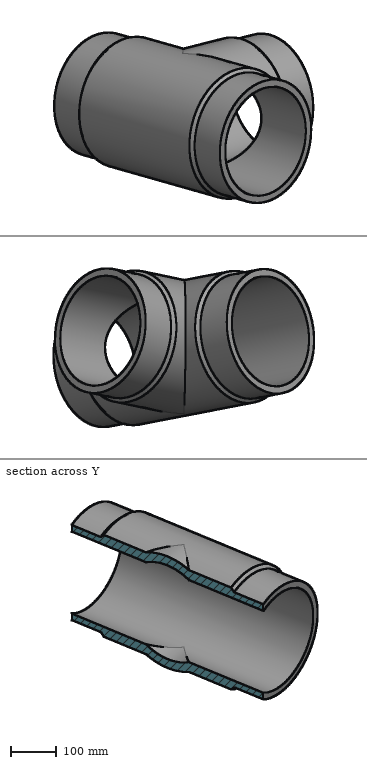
import cadquery as cq

run_length = 534.0
body_diameter = 296.5
spigot_diameter = 280.0
bore_diameter = 246.5
spigot_length = 81.0

arm_length = run_length / 2
collar_end = arm_length - spigot_length
body_radius = body_diameter / 2
spigot_radius = spigot_diameter / 2
bore_radius = bore_diameter / 2
chamfer = body_radius - spigot_radius

run_plane = cq.Plane(origin=(0, 0, 0), xDir=(0, 1, 0), normal=(1, 0, 0))
branch_plane = cq.Plane(origin=(0, 0, 0), xDir=(1, 0, 0), normal=(0, 1, 0))


def run_solid():
    """Thick body along X with a chamfered shoulder and spigot at each end."""
    body = cq.Workplane(run_plane).circle(body_radius).extrude(collar_end, both=True)
    body = body.faces("<X or >X").chamfer(chamfer)
    spigots = cq.Workplane(run_plane).circle(spigot_radius).extrude(arm_length, both=True)
    return body.union(spigots)


def branch_solid():
    """Side arm along +Y, with the same shoulder and spigot as the run."""
    body = cq.Workplane(branch_plane).circle(body_radius).extrude(collar_end)
    body = body.faces(">Y").chamfer(chamfer)
    spigot = cq.Workplane(branch_plane).circle(spigot_radius).extrude(arm_length)
    return body.union(spigot)


run_bore = cq.Workplane(run_plane).circle(bore_radius).extrude(arm_length, both=True)
branch_bore = cq.Workplane(branch_plane).circle(bore_radius).extrude(arm_length)

result = run_solid().union(branch_solid()).cut(run_bore).cut(branch_bore)